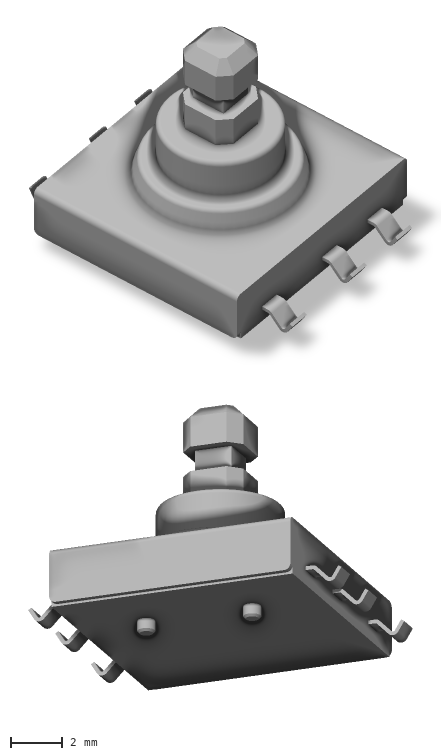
import cadquery as cq
import math


base_size = 10.01
base_bottom_z = 0.0

cover_sheet = 0.25
cover_top_z = 2.3
cover_depth = base_size + 2 * cover_sheet
flap_bottom_z = 0.09
flap_corner_radius = 0.26
base_top_z = cover_top_z - cover_sheet

collar_foot_radius = 3.5
collar_top_z = 3.18
collar_draft = 20.0
boot_radius = 2.5
boot_top_z = 5.0
boot_blend = 0.2

stem_width = 2.5
stem_chamfer = 0.5
neck_width = stem_width - 2 * stem_chamfer
neck_bottom_z = 6.28
neck_top_z = 7.28
stem_top_z = 9.0

peg_diameter = 0.7
peg_length = 0.51
peg_chamfer = 0.09
peg_x = 2.2
peg_y = 2.2

terminal_reach = 6.5
terminal_width = 0.9
terminal_sheet = 0.15
terminal_shelf_z = 0.66
terminal_tip_z = 0.56
terminal_inner_bend = 0.1
ramp_angle = 45.0
tip_angle = 58.0
terminal_y_places = (3.25, 0.45, -3.25)


def make_block():
    height = base_top_z - base_bottom_z
    return (
        cq.Workplane("XY")
        .workplane(offset=base_bottom_z)
        .box(base_size, base_size, height, centered=(True, True, False))
    )


def make_peg(x):
    return (
        cq.Workplane("XY")
        .workplane(offset=base_bottom_z)
        .center(x, peg_y)
        .circle(peg_diameter / 2)
        .extrude(-peg_length)
        .faces("<Z")
        .chamfer(peg_chamfer)
    )


def terminal_centreline():
    """Sharp-cornered middle line of the +X terminal, from the base wall to the tip, as (x, z)."""
    half_sheet = terminal_sheet / 2
    middle_bend = terminal_inner_bend + half_sheet
    outer_bend = terminal_inner_bend + terminal_sheet

    half_turn = math.radians((ramp_angle + tip_angle) / 2)
    corner_lean = math.radians((tip_angle - ramp_angle) / 2)
    valley_z = base_bottom_z + outer_bend - middle_bend / math.cos(half_turn) * math.cos(corner_lean)

    tip_x = terminal_reach - half_sheet * math.sin(math.radians(tip_angle))
    valley_x = tip_x - (terminal_tip_z - valley_z) / math.tan(math.radians(tip_angle))
    shoulder_x = valley_x - (terminal_shelf_z - valley_z) / math.tan(math.radians(ramp_angle))
    return [
        (base_size / 2, terminal_shelf_z),
        (shoulder_x, terminal_shelf_z),
        (valley_x, valley_z),
        (tip_x, terminal_tip_z),
    ]


def mitred_side(points, distance):
    """Points of a line parallel to a path, at a distance to its left, with sharp corners."""
    angles = [math.atan2(z1 - z0, x1 - x0) for (x0, z0), (x1, z1) in zip(points, points[1:])]
    before = [angles[0]] + angles
    after = angles + [angles[-1]]
    side = []
    for (x, z), angle_in, angle_out in zip(points, before, after):
        normal = (angle_in + angle_out) / 2 + math.pi / 2
        length = distance / math.cos((angle_out - angle_in) / 2)
        side.append((x + length * math.cos(normal), z + length * math.sin(normal)))
    return side


def round_edge(terminal, corner, radius):
    """Round the bend edge of a terminal that passes through an (x, z) corner."""
    x, z = corner
    edge = cq.selectors.NearestToPointSelector((x, 0, z))
    return terminal.edges("|Y").edges(edge).fillet(radius)


def make_terminal():
    """One +X terminal, centred on Y = 0."""
    path = terminal_centreline()
    upper = mitred_side(path, terminal_sheet / 2)
    lower = mitred_side(path, -terminal_sheet / 2)
    outer_bend = terminal_inner_bend + terminal_sheet
    shoulder, valley = 1, 2

    terminal = (
        cq.Workplane("XZ")
        .polyline(upper + lower[::-1])
        .close()
        .extrude(terminal_width / 2, both=True)
    )
    terminal = round_edge(terminal, upper[shoulder], outer_bend)
    terminal = round_edge(terminal, lower[shoulder], terminal_inner_bend)
    terminal = round_edge(terminal, upper[valley], terminal_inner_bend)
    return round_edge(terminal, lower[valley], outer_bend)


def make_base():
    base = make_block()
    for x in (-peg_x, peg_x):
        base = base.union(make_peg(x))
    right_terminal = make_terminal()
    left_terminal = right_terminal.mirror("YZ")
    for y in terminal_y_places:
        base = base.union(right_terminal.translate((0, y, 0)))
        base = base.union(left_terminal.translate((0, y, 0)))
    return base


def make_folded_sheet():
    height = cover_top_z - flap_bottom_z
    sheet = (
        cq.Workplane("XY")
        .workplane(offset=flap_bottom_z)
        .box(base_size, cover_depth, height, centered=(True, True, False))
        .edges("|X and >Z")
        .fillet(cover_sheet)
        .edges("|Y and <Z")
        .fillet(flap_corner_radius)
    )
    return sheet.cut(make_block())


def add_boot(cover):
    collar_height = collar_top_z - cover_top_z
    collar_top_radius = collar_foot_radius - collar_height * math.tan(math.radians(collar_draft))
    boot = (
        cq.Workplane("XZ")
        .moveTo(0, base_top_z)
        .lineTo(collar_foot_radius, base_top_z)
        .lineTo(collar_foot_radius, cover_top_z)
        .lineTo(collar_top_radius, collar_top_z)
        .lineTo(boot_radius, collar_top_z)
        .lineTo(boot_radius, boot_top_z)
        .lineTo(0, boot_top_z)
        .close()
        .revolve(360, (0, 0, 0), (0, 1, 0))
    )
    circles_above_sheet = cq.selectors.BoxSelector(
        (-base_size / 2, -base_size / 2, cover_top_z - cover_sheet / 2),
        (base_size / 2, base_size / 2, boot_top_z + cover_sheet / 2),
    )
    return cover.union(boot).edges("%CIRCLE").edges(circles_above_sheet).fillet(boot_blend)


def stem_section(bottom_z, top_z):
    """Octagonal length of the stem."""
    return (
        cq.Workplane("XY")
        .workplane(offset=bottom_z)
        .box(stem_width, stem_width, top_z - bottom_z, centered=(True, True, False))
        .edges("|Z")
        .chamfer(stem_chamfer)
    )


def make_stem():
    lower = stem_section(boot_top_z, neck_bottom_z)
    neck = (
        cq.Workplane("XY")
        .workplane(offset=neck_bottom_z)
        .box(neck_width, neck_width, neck_top_z - neck_bottom_z, centered=(True, True, False))
    )
    head = stem_section(neck_top_z, stem_top_z).faces(">Z").chamfer(stem_chamfer)
    return lower.union(neck).union(head)


def make_cover():
    """Folded sheet, boot and stem as one solid."""
    return add_boot(make_folded_sheet()).union(make_stem())


base = make_base()
cover = make_cover()

result = cq.Compound.makeCompound([base.solids().val(), cover.solids().val()])